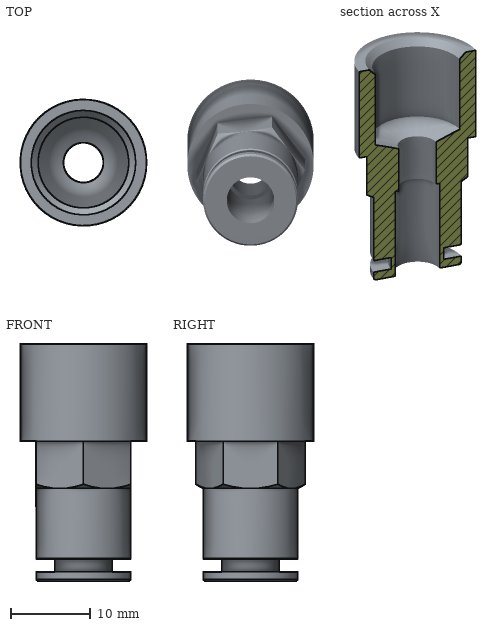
import cadquery as cq
import math

total_height = 30.0
socket_bottom = 17.7
hex_bottom = 11.73
body_bottom = 2.75
collar_top = 1.2

socket_diameter = 16.0
hex_across_flats = 12.0
body_diameter = 12.0
neck_diameter = 7.3
body_edge_chamfer = 0.15
collar_edge_chamfer = 0.25
hex_chamfer_angle = 30.0

bore_diameter = 11.45
bore_mouth_diameter = 13.2
bore_depth = 10.8
cone_floor_angle = 20.0
through_diameter = 5.0
tube_diameter = 6.0
tube_depth = 12.0


def cylinder(diameter, bottom, top):
    """Upright cylinder on the Z axis between two heights."""
    return cq.Workplane("XY").workplane(offset=bottom).circle(diameter / 2).extrude(top - bottom)


def cone(bottom_diameter, top_diameter, bottom, top):
    """Upright truncated cone on the Z axis between two heights."""
    return cq.Workplane(
        cq.Solid.makeCone(bottom_diameter / 2, top_diameter / 2, top - bottom, pnt=cq.Vector(0, 0, bottom))
    )


def hexagon():
    """Wrench hexagon with flats facing X and its lower corners chamfered by a cone."""
    height = socket_bottom - hex_bottom
    across_corners = hex_across_flats / math.cos(math.radians(30))
    prism = (
        cq.Workplane("XY").workplane(offset=hex_bottom)
        .transformed(rotate=(0, 0, 90))
        .polygon(6, across_corners)
        .extrude(height)
    )
    cone_spread = 2 * height / math.tan(math.radians(hex_chamfer_angle))
    return prism.intersect(cone(body_diameter, body_diameter + cone_spread, hex_bottom, socket_bottom))


def outside():
    """Socket, hexagon, body, neck and release collar."""
    socket = cylinder(socket_diameter, socket_bottom, total_height)
    body = cylinder(body_diameter, body_bottom, hex_bottom).faces("<Z").edges().chamfer(body_edge_chamfer)
    neck = cylinder(neck_diameter, collar_top, body_bottom)
    collar = cylinder(body_diameter, 0, collar_top).faces("<Z").edges().chamfer(collar_edge_chamfer)
    return socket.union(hexagon()).union(body).union(neck).union(collar)


def inside():
    """Socket bore with a 45 degree mouth and conical floor, through hole and tube hole."""
    bore_bottom = total_height - bore_depth
    floor_drop = (bore_diameter - through_diameter) / 2 * math.tan(math.radians(cone_floor_angle))
    mouth_depth = (bore_mouth_diameter - bore_diameter) / 2
    bore = cylinder(bore_diameter, bore_bottom, total_height)
    floor = cone(through_diameter, bore_diameter, bore_bottom - floor_drop, bore_bottom)
    mouth = cone(bore_diameter, bore_mouth_diameter, total_height - mouth_depth, total_height)
    through_hole = cylinder(through_diameter, 0, total_height)
    tube_hole = cylinder(tube_diameter, 0, tube_depth)
    return bore.union(floor).union(mouth).union(through_hole).union(tube_hole)


result = outside().cut(inside())